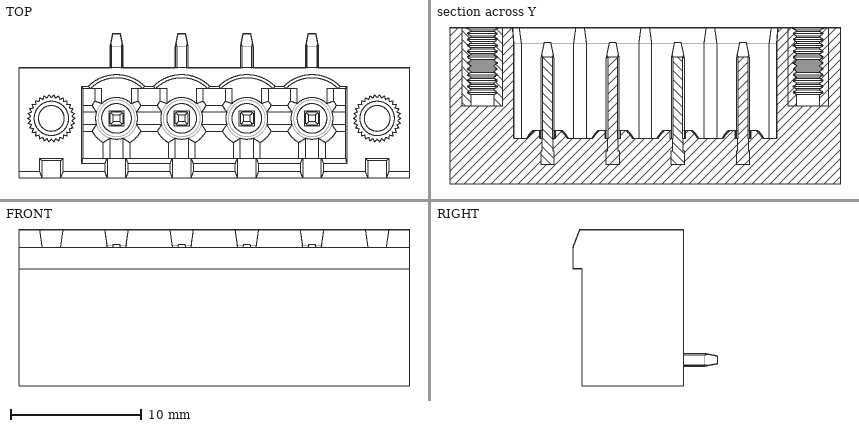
import cadquery as cq
import math


housing_length = 30.0
pin_count = 4
insert_count = 2
pitch = housing_length / (pin_count + insert_count)
pin_xs = [pitch * (i - (pin_count - 1) / 2) for i in range(pin_count)]
insert_xs = [pin_xs[0] - pitch, pin_xs[-1] + pitch]

housing_height = 12.0
back_y = 3.9
body_depth = 7.8
lip_depth = 0.7
lip_bottom_z = 9.0
lip_chamfer_depth = 0.5
lip_chamfer_height = 1.35
front_y = back_y - body_depth
lip_y = front_y - lip_depth

cavity_half_length = 10.08
cavity_front_y = -3.05
cavity_back_y = 2.28
mouth_half_length = 10.17
mouth_front_y = -3.48
mouth_back_y = 2.45
mouth_height = 1.2
mouth_z = housing_height - mouth_height
floor_z = 3.0

lobe_center_y = 0.3
lobe_radius = 2.82
lobe_mouth_radius = 3.05

rise = 0.5
ridge_half_width = 0.48
front_rib_half_width = 0.5
back_rib_half_width = 1.15
boss_diameter = 3.2
boss_step_radius = 1.4
boss_top_radius = 1.15
boss_step_height = 0.3
raised_z = floor_z + rise
boss_step_z = raised_z + boss_step_height
boss_top_z = boss_step_z + boss_step_height

slot_depth = 1.35
slot_top_width = 1.8
slot_bottom_width = 1.4
slot_back_y = -3.1
slot_back_taper = 0.15
slot_overrun = 0.3

pin_width = 1.0
pin_edge_chamfer = 0.12
pin_top_z = 10.85
pin_arm_z = 2.0
pin_pocket_width = 1.17
solder_leg_length = 2.6
pin_arm_tip_y = back_y + solder_leg_length
contact_tip_length = 1.2
contact_tip_width = 0.5
solder_tip_length = 1.0
solder_tip_width = 0.6

insert_length = 6.0
knurl_root_diameter = 3.18
knurl_tip_diameter = 3.63
knurl_teeth = 30
thread_minor_radius = 1.0
thread_depth = 0.25
thread_pitch = 0.45
thread_turns = 11
thread_crest_flat = 0.12
bore_mouth_radius = 1.32
bore_mouth_depth = 0.18


def box_between(x0, x1, y0, y1, z0, z1):
    return cq.Workplane("XY").box(x1 - x0, y1 - y0, z1 - z0, centered=False).translate((x0, y0, z0))


def rectangle(x0, x1, y0, y1, z):
    return cq.Wire.makePolygon([(x0, y0, z), (x1, y0, z), (x1, y1, z), (x0, y1, z)], close=True)


def tapered_block(lower, upper):
    """Flat-sided block between a lower and an upper rectangle."""
    return cq.Workplane(obj=cq.Solid.makeLoft([lower, upper], True))


def cone_at(x, y, z0, z1, radius0, radius1):
    return cq.Workplane(obj=cq.Solid.makeCone(radius0, radius1, z1 - z0, cq.Vector(x, y, z0)))


def housing_block():
    outline = [
        (back_y, 0),
        (front_y, 0),
        (front_y, lip_bottom_z),
        (lip_y, lip_bottom_z),
        (lip_y, housing_height - lip_chamfer_height),
        (lip_y + lip_chamfer_depth, housing_height),
        (back_y, housing_height),
    ]
    return cq.Workplane("YZ").polyline(outline).close().extrude(housing_length / 2, both=True)


def lobe(x):
    """Pocket behind one contact, reaching down only to the raised floor level."""
    shaft = cq.Workplane("XY", origin=(x, lobe_center_y, raised_z)).circle(lobe_radius)
    shaft = shaft.extrude(mouth_z - raised_z)
    mouth = cone_at(x, lobe_center_y, mouth_z, housing_height, lobe_radius, lobe_mouth_radius)
    behind_wall = box_between(x - pitch, x + pitch, cavity_back_y, back_y, 0, housing_height)
    return shaft.union(mouth).intersect(behind_wall)


def cavity():
    straight = (-cavity_half_length, cavity_half_length, cavity_front_y, cavity_back_y)
    widened = (-mouth_half_length, mouth_half_length, mouth_front_y, mouth_back_y)
    space = box_between(*straight, floor_z, mouth_z)
    space = space.union(tapered_block(rectangle(*straight, mouth_z), rectangle(*widened, housing_height)))
    for x in pin_xs:
        space = space.union(lobe(x))
    return space


def floor_ridge():
    """Rib along X that joins the bosses."""
    x0, x1 = -cavity_half_length, cavity_half_length
    base = ridge_half_width + rise
    return tapered_block(
        rectangle(x0, x1, -base, base, floor_z),
        rectangle(x0, x1, -ridge_half_width, ridge_half_width, raised_z),
    )


def floor_rib(x, half_width, y0, y1):
    """Rib along Y from a boss to a cavity wall."""
    base = half_width + rise
    return tapered_block(
        rectangle(x - base, x + base, y0, y1, floor_z),
        rectangle(x - half_width, x + half_width, y0, y1, raised_z),
    )


def boss(x):
    """Stepped conical boss around one contact."""
    radius = boss_diameter / 2
    skirt = cone_at(x, 0, floor_z, raised_z, radius + rise, radius)
    middle = cone_at(x, 0, raised_z, boss_step_z, radius, boss_step_radius)
    top = cone_at(x, 0, boss_step_z, boss_top_z, boss_step_radius, boss_top_radius)
    return skirt.union(middle).union(top)


def pin_pocket(x):
    """Square clearance around a contact where it leaves the boss."""
    half = pin_pocket_width / 2
    return box_between(x - half, x + half, -half, half, raised_z, boss_top_z)


def coding_slot(x, back_bottom_y, back_top_y):
    """Slot cut through the front of the lip, narrower at its floor than at the top."""
    bottom = slot_bottom_width / 2
    top = slot_top_width / 2
    y0 = lip_y - slot_overrun
    return tapered_block(
        rectangle(x - bottom, x + bottom, y0, back_bottom_y, housing_height - slot_depth),
        rectangle(x - top, x + top, y0, back_top_y, housing_height),
    )


def centered_square(width, z):
    return rectangle(-width / 2, width / 2, -width / 2, width / 2, z)


def pin_leg(length, tip_length, tip_width):
    """Upright bar with chamfered edges and a tapered tip, standing on Z = 0."""
    shank_length = length - tip_length
    tip = tapered_block(centered_square(pin_width, shank_length), centered_square(tip_width, length))
    shank = cq.Workplane("XY").rect(pin_width, pin_width).extrude(shank_length)
    bar = cq.Workplane("XY").rect(pin_width, pin_width).extrude(length)
    return shank.union(tip).intersect(bar.edges("|Z").chamfer(pin_edge_chamfer))


def contact_pin(x):
    """Pin with an upright contact leg and a solder leg pointing to +Y."""
    upright = pin_leg(pin_top_z - pin_arm_z, contact_tip_length, contact_tip_width)
    solder = pin_leg(pin_arm_tip_y, solder_tip_length, solder_tip_width)
    solder = solder.rotate((0, 0, 0), (1, 0, 0), -90)
    corner = cq.Workplane("XY").box(pin_width, pin_width, pin_width)
    return upright.union(solder).union(corner).translate((x, 0, pin_arm_z))


def knurled_bar():
    points = []
    for i in range(2 * knurl_teeth):
        radius = (knurl_tip_diameter if i % 2 == 0 else knurl_root_diameter) / 2
        angle = math.pi * i / knurl_teeth
        points.append((radius * math.cos(angle), radius * math.sin(angle)))
    return cq.Workplane("XY").polyline(points).close().extrude(-insert_length)


def threaded_bore():
    """Bore with ring-shaped thread grooves under a conical mouth, its top at Z = 0."""
    profile = [(0, 0), (bore_mouth_radius, 0)]
    groove_half_height = (thread_pitch - thread_crest_flat) / 2
    for i in range(thread_turns):
        groove_top_z = -bore_mouth_depth - thread_crest_flat - i * thread_pitch
        groove_root_z = groove_top_z - groove_half_height
        profile.append((thread_minor_radius, groove_top_z + thread_crest_flat))
        profile.append((thread_minor_radius, groove_top_z))
        profile.append((thread_minor_radius + thread_depth, groove_root_z))
    profile.append((thread_minor_radius, -bore_mouth_depth - thread_turns * thread_pitch))
    profile.append((thread_minor_radius, -insert_length))
    profile.append((0, -insert_length))
    return cq.Workplane("XZ").polyline(profile).close().revolve(360, (0, 0, 0), (0, 1, 0))


def place_insert(shape, x):
    return shape.translate((x, 0, housing_height))


pins = [contact_pin(x) for x in pin_xs]
insert_blank = knurled_bar()
insert = insert_blank.cut(threaded_bore())
inserts = [place_insert(insert, x) for x in insert_xs]

housing = housing_block().cut(cavity())
housing = housing.union(floor_ridge())
for x in pin_xs:
    housing = housing.union(floor_rib(x, front_rib_half_width, cavity_front_y, 0))
    housing = housing.union(floor_rib(x, back_rib_half_width, 0, cavity_back_y))
    housing = housing.union(boss(x))
    housing = housing.cut(pin_pocket(x))
    housing = housing.cut(coding_slot(x, 0, 0))
for x in insert_xs:
    housing = housing.cut(coding_slot(x, slot_back_y - slot_back_taper, slot_back_y))
    housing = housing.cut(place_insert(insert_blank, x))
for pin in pins:
    housing = housing.cut(pin)

bodies = [housing, *pins, *inserts]
result = cq.Compound.makeCompound([body.val() for body in bodies])